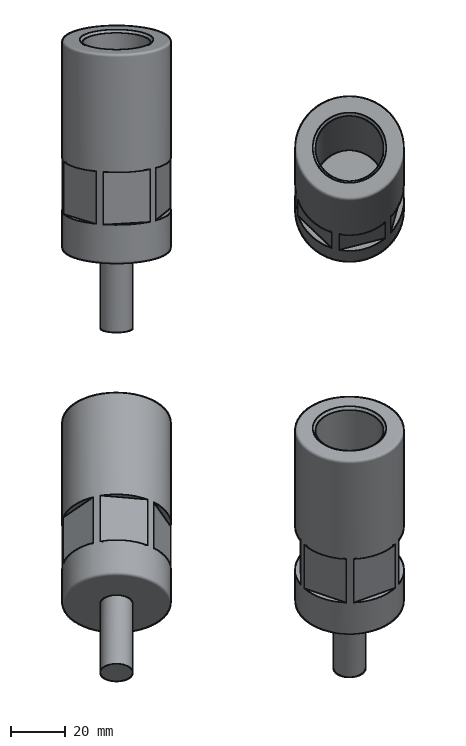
import cadquery as cq

total_length = 110.0
body_diameter = 40.0
stem_diameter = 12.0
stem_length = 30.0
bore_diameter = 25.0
edge_radius = 1.0
bore_chamfer = 1.0

flat_count = 6
across_flats = 36.0
flats_offset = 15.0
flats_length = 20.0

body_bottom = stem_length
body_length = total_length - stem_length
flats_bottom = body_bottom + flats_offset
flats_top = flats_bottom + flats_length
bore_depth = total_length - flats_top


def make_stem():
    return cq.Workplane("XY").circle(stem_diameter / 2).extrude(stem_length)


def make_body():
    body = cq.Workplane("XY", origin=(0, 0, body_bottom)).circle(body_diameter / 2).extrude(body_length)
    return body.faces("<Z or >Z").edges().fillet(edge_radius)


def cut_bore(part):
    bored = part.faces(">Z").workplane().hole(bore_diameter, bore_depth)
    mouth = cq.selectors.RadiusNthSelector(0)
    return bored.faces(">Z").edges(mouth).chamfer(bore_chamfer)


def cut_wrench_flats(part):
    cutter = (
        cq.Workplane("XY", origin=(across_flats / 2 + body_diameter / 2, 0, flats_bottom))
        .rect(body_diameter, body_diameter)
        .extrude(flats_length)
    )
    for index in range(flat_count):
        angle = index * 360 / flat_count
        part = part.cut(cutter.rotate((0, 0, 0), (0, 0, 1), angle))
    return part


result = cut_wrench_flats(cut_bore(make_body())).union(make_stem())